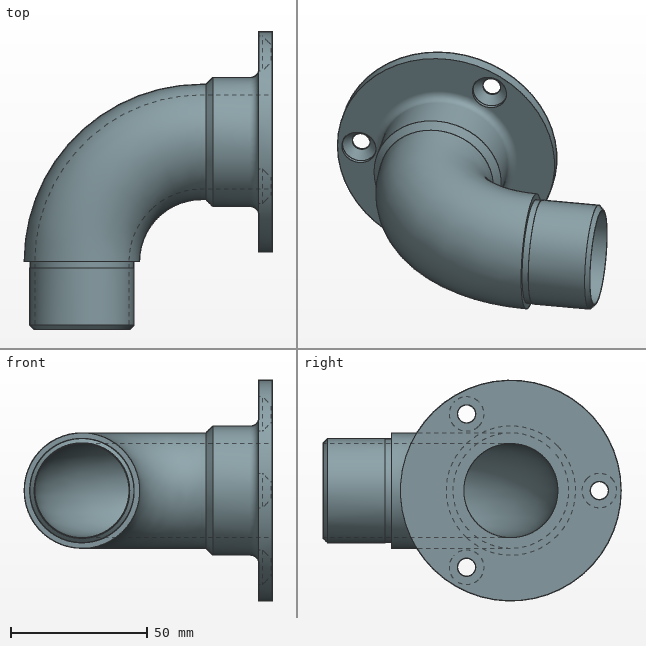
import cadquery as cq


overall_length = 109.3

flange_diameter = 81.0
flange_thickness = 5.0

screw_count = 3
screw_circle_radius = 32.5
screw_hole_diameter = 6.6
head_recess_diameter = 12.7
head_recess_depth = 1.4

collar_diameter = 47.4
collar_length = 16.8
collar_fillet = 3.0

pipe_diameter = 42.4
bend_radius = 43.8
stub_length = 1.6

spigot_diameter = 38.4
spigot_chamfer = 1.6

neck_diameter = 38.1
neck_length = 2.3

bore_diameter = 34.5

taper_length = (collar_diameter - pipe_diameter) / 2
collar_end_x = -flange_thickness - collar_length
taper_end_x = collar_end_x - taper_length
bend_start_x = taper_end_x - stub_length
spigot_axis_x = bend_start_x - bend_radius
bend_end_y = -bend_radius
spigot_length = overall_length - flange_diameter / 2 - bend_radius


def flange_and_collar():
    """Flange, filleted collar, taper and stub as one solid turned about the X axis."""
    flange_radius = flange_diameter / 2
    collar_radius = collar_diameter / 2
    pipe_radius = pipe_diameter / 2
    fillet_start_x = -flange_thickness - collar_fillet
    fillet_foot_radius = collar_radius + collar_fillet
    profile = (
        cq.Workplane("XY")
        .lineTo(0, flange_radius)
        .lineTo(-flange_thickness, flange_radius)
        .lineTo(-flange_thickness, fillet_foot_radius)
        .radiusArc((fillet_start_x, collar_radius), collar_fillet)
        .lineTo(collar_end_x, collar_radius)
        .lineTo(taper_end_x, pipe_radius)
        .lineTo(bend_start_x, pipe_radius)
        .lineTo(bend_start_x, 0)
        .close()
    )
    return profile.revolve(360, (0, 0, 0), (1, 0, 0))


def quarter_bend(diameter):
    """Round bar swept through 90 degrees from the stub to the spigot."""
    return (
        cq.Workplane("YZ", origin=(bend_start_x, 0, 0))
        .circle(diameter / 2)
        .revolve(90, (bend_end_y, 0, 0), (bend_end_y, 1, 0))
    )


def spigot():
    """Relief neck followed by the reduced pipe end with a chamfered mouth."""
    return (
        cq.Workplane("XZ", origin=(spigot_axis_x, bend_end_y, 0))
        .circle(neck_diameter / 2)
        .extrude(neck_length)
        .faces("<Y")
        .workplane()
        .circle(spigot_diameter / 2)
        .extrude(spigot_length - neck_length)
        .faces("<Y")
        .chamfer(spigot_chamfer)
    )


def bore():
    """Constant passage: straight through the flange, round the bend, straight out of the spigot."""
    flange_run = (
        cq.Workplane("YZ", origin=(bend_start_x, 0, 0))
        .circle(bore_diameter / 2)
        .extrude(-bend_start_x)
    )
    spigot_run = (
        cq.Workplane("XZ", origin=(spigot_axis_x, bend_end_y, 0))
        .circle(bore_diameter / 2)
        .extrude(spigot_length)
    )
    return flange_run.union(quarter_bend(bore_diameter)).union(spigot_run)


def screw_hole():
    """Tool for one screw hole on the +Y side: head recess, 90 degree countersink, through hole.

    The recess starts clear of the flange face so that it also trims the collar fillet.
    """
    hole_radius = screw_hole_diameter / 2
    recess_radius = head_recess_diameter / 2
    recess_top_x = -flange_thickness - collar_fillet
    cone_top_x = -flange_thickness + head_recess_depth
    cone_bottom_x = cone_top_x + recess_radius - hole_radius
    axis_y = screw_circle_radius
    profile = (
        cq.Workplane("XY")
        .moveTo(0, axis_y)
        .lineTo(0, axis_y + hole_radius)
        .lineTo(cone_bottom_x, axis_y + hole_radius)
        .lineTo(cone_top_x, axis_y + recess_radius)
        .lineTo(recess_top_x, axis_y + recess_radius)
        .lineTo(recess_top_x, axis_y)
        .close()
    )
    return profile.revolve(360, (0, axis_y, 0), (1, axis_y, 0))


result = flange_and_collar().union(quarter_bend(pipe_diameter)).union(spigot()).cut(bore())
for index in range(screw_count):
    hole_angle = index * 360 / screw_count
    result = result.cut(screw_hole().rotate((0, 0, 0), (1, 0, 0), hole_angle))